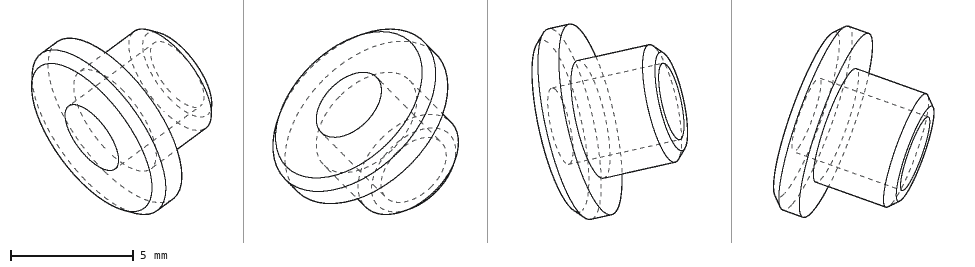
import cadquery as cq

flange_diameter = 8.0
flange_thickness = 1.3
shank_diameter = 4.94
bore_diameter = 3.2
total_length = 4.8
chamfer = 0.4

flange = (
    cq.Workplane("XZ")
    .circle(flange_diameter / 2)
    .extrude(-flange_thickness)
    .faces("<Y")
    .chamfer(chamfer)
)

shank = (
    cq.Workplane("XZ")
    .circle(shank_diameter / 2)
    .extrude(-total_length)
    .faces(">Y")
    .chamfer(chamfer)
)

bore = cq.Workplane("XZ").circle(bore_diameter / 2).extrude(-total_length)

result = flange.union(shank).cut(bore)